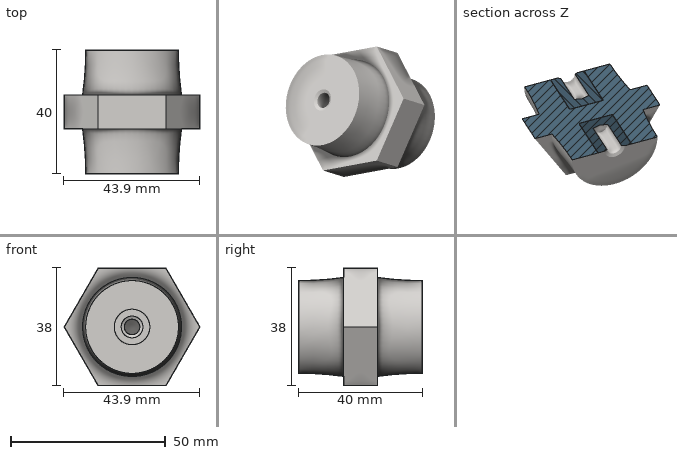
import cadquery as cq
import math


hex_across_corners = 43.9
hex_thickness = 11.0
total_length = 40.0
end_radius = 15.0
root_radius = 16.0

insert_radius = 5.75
insert_length = 16.0
bore_radius = 2.5
bore_depth = 12.02
mouth_radius = 3.5
countersink_angle = 120.0
drill_point_angle = 150.0


def cone_height(radius_change, included_angle):
    """Length along the axis over which a cone of this included angle changes radius."""
    return radius_change / math.tan(math.radians(included_angle / 2))


half_length = total_length / 2
half_hex = hex_thickness / 2
collar_length = half_length - half_hex
flare = root_radius - end_radius
flare_arc_radius = (collar_length**2 + flare**2) / (2 * flare)
mouth_depth = cone_height(mouth_radius - bore_radius, countersink_angle)
drill_tip_depth = bore_depth + cone_height(bore_radius, drill_point_angle)


def revolve_about_y(profile):
    """Close a profile given as (Y, radius) and turn it about the Y axis."""
    axis_start = (0, 0)
    axis_end = (1, 0)
    return profile.close().revolve(360, axis_start, axis_end)


def make_hexagon():
    """Central flange with two of its corners on the X axis."""
    return cq.Workplane("XZ").polygon(6, hex_across_corners).extrude(half_hex, both=True)


def make_collar():
    """Collar at the +Y end; its hollow arc runs parallel to Y at the end face and flares to the root."""
    profile = (
        cq.Workplane("YZ")
        .moveTo(half_hex, 0)
        .lineTo(half_length, 0)
        .lineTo(half_length, end_radius)
        .radiusArc((half_hex, root_radius), flare_arc_radius)
    )
    return revolve_about_y(profile)


def make_insert_blank():
    """Plain cylinder of the insert at the +Y end, flush with the end face."""
    return (
        cq.Workplane("XZ", origin=(0, half_length, 0))
        .circle(insert_radius)
        .extrude(insert_length)
    )


def make_bore():
    """Countersunk blind bore of the +Y end, closed by a conical drill point."""
    profile = (
        cq.Workplane("YZ")
        .moveTo(half_length, 0)
        .lineTo(half_length, mouth_radius)
        .lineTo(half_length - mouth_depth, bore_radius)
        .lineTo(half_length - bore_depth, bore_radius)
        .lineTo(half_length - drill_tip_depth, 0)
    )
    return revolve_about_y(profile)


def at_end(shape, end):
    """Place a feature of the +Y end (end = 1), or turn it half round Z to the -Y end (end = -1)."""
    return shape if end == 1 else shape.rotate((0, 0, 0), (0, 0, 1), 180)


def make_insulator():
    """Hexagon with a collar and an insert pocket at each end."""
    body = make_hexagon()
    for end in (-1, 1):
        body = body.union(at_end(make_collar(), end))
    for end in (-1, 1):
        body = body.cut(at_end(make_insert_blank(), end))
    return body


def make_insert(end):
    """Insert of one end, with its countersunk blind bore."""
    return at_end(make_insert_blank().cut(make_bore()), end)


insulator = make_insulator()
inserts = [make_insert(end) for end in (-1, 1)]

result = cq.Compound.makeCompound([insulator.val(), *[insert.val() for insert in inserts]])